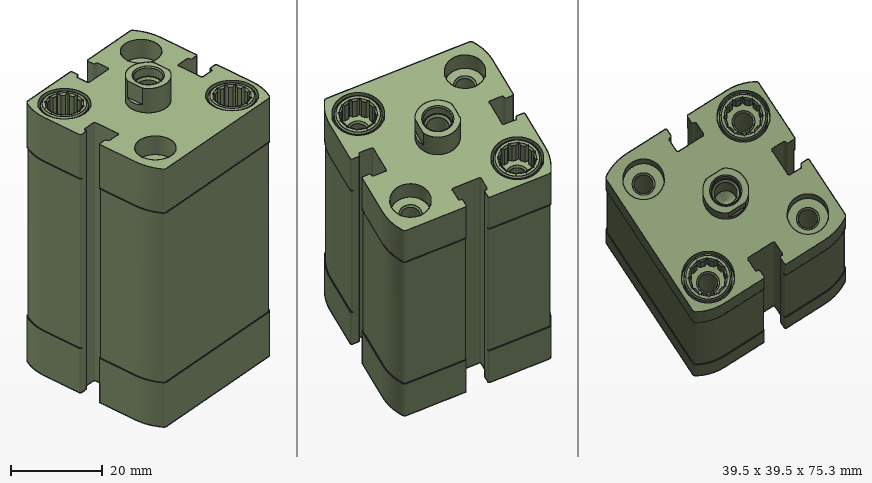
import cadquery as cq
import math


total_height = 75.3
side = 39.5
rod_protrusion = 6.5
housing_height = total_height - rod_protrusion

cap_height = 11.8
tube_inset = 0.2
screw_offset = 12.95
corner_radius = 12.5
corner_blend_radius = 0.8

slot_mouth_width = 5.3
slot_inner_width = 7.0
slot_depth = 5.7
slot_lip = 2.2
slot_fillet = 0.4

through_diameter = 4.15
bevel_diameter = 5.0
plain_bore_diameter = 9.0
plain_bore_depth = 5.0

recess_diameter = 11.5
recess_depth = 4.0
head_diameter = 10.5
head_chamfer = 0.4
tooth_count = 12
tooth_tip_diameter = 7.5
tooth_root_diameter = 8.7
lead_in_diameter = 8.35
tooth_tip_angle = 15.0
socket_depth = 6.0

rod_diameter = 10.0
rod_length = rod_protrusion + cap_height
flat_width = 9.0
flat_height = 4.4
flat_runout = 0.3
bore_diameter = 6.4
bore_depth = 2.5
bore_mouth_diameter = 7.0
pilot_diameter = 5.0
pilot_mouth_diameter = 6.0
pilot_depth = 12.05
drill_point_angle = 120.0


def revolved(points):
    """Solid of revolution about Z from (radius, z) points."""
    return cq.Workplane("XZ").polyline(points).close().revolve(360, (0, 0, 0), (0, 1, 0))


def block(inset, z_bottom, height):
    """Length of the housing whose sides and corner arcs lie `inset` inside the end cap outline."""
    half = side / 2 - inset
    radius = corner_radius - inset
    arc_center_y = half - radius
    arc_end_y = arc_center_y + math.sqrt(radius**2 - (half - screw_offset) ** 2)
    end_angle = math.atan2(arc_end_y - arc_center_y, half - screw_offset)
    mid_angle = (end_angle + math.pi / 2) / 2
    mid_x = screw_offset + radius * math.cos(mid_angle)
    mid_y = arc_center_y + radius * math.sin(mid_angle)
    solid = (
        cq.Workplane("XY", origin=(0, 0, z_bottom))
        .moveTo(half, -arc_end_y)
        .lineTo(half, arc_end_y)
        .threePointArc((mid_x, mid_y), (screw_offset, half))
        .lineTo(-screw_offset, half)
        .threePointArc((-mid_x, mid_y), (-half, arc_end_y))
        .lineTo(-half, -arc_end_y)
        .threePointArc((-mid_x, -mid_y), (-screw_offset, -half))
        .lineTo(screw_offset, -half)
        .threePointArc((mid_x, -mid_y), (half, -arc_end_y))
        .close()
        .extrude(height)
    )
    return solid.edges("|Z and (<X or >X)").fillet(corner_blend_radius)


def slot(z_bottom, height):
    """T-slot cutter for the -X side, with every corner rounded except those at its open end."""
    outer_x = -side / 2
    inner_depth = slot_depth - slot_lip
    mouth = cq.Workplane("XY").box(slot_lip, slot_mouth_width, height, centered=(False, True, False))
    inner = cq.Workplane("XY").box(inner_depth, slot_inner_width, height, centered=(False, True, False))
    cutter = mouth.union(inner.translate((slot_lip, 0, 0)))
    cutter = cutter.edges("|Z and (not <X)").fillet(slot_fillet)
    return cutter.translate((outer_x, 0, z_bottom))


def is_mouth_edge(edge, half):
    """Whether a vertical edge is where a slot opens in a side at distance `half` from the axis."""
    center = edge.Center()
    distances = sorted((abs(center.x), abs(center.y)))
    return math.isclose(distances[0], slot_mouth_width / 2) and math.isclose(distances[1], half)


def housing_section(inset, z_bottom, height):
    """Length of the housing with T-slots in its -X, -Y and +Y sides."""
    section = block(inset, z_bottom, height)
    for angle in (0, 90, -90):
        section = section.cut(slot(z_bottom, height).rotate((0, 0, 0), (0, 0, 1), angle))
    mouth_edges = section.edges("|Z").filter(lambda edge: is_mouth_edge(edge, side / 2 - inset))
    return mouth_edges.fillet(slot_fillet)


def through_hole(floor_z):
    """Hole from the base up to a floor, with a 45 degree bevel at the floor."""
    bevel = (bevel_diameter - through_diameter) / 2
    return revolved([
        (0, 0),
        (through_diameter / 2, 0),
        (through_diameter / 2, floor_z - bevel),
        (bevel_diameter / 2, floor_z),
        (0, floor_z),
    ])


def plain_screw_hole():
    """Plain counterbore over a through hole."""
    floor_z = housing_height - plain_bore_depth
    bore = cq.Workplane("XY", origin=(0, 0, floor_z)).circle(plain_bore_diameter / 2).extrude(plain_bore_depth)
    return bore.union(through_hole(floor_z))


def spline_outline():
    """Corners of the socket: flat tooth tips with a V groove between each two."""
    pitch = 360 / tooth_count
    points = []
    for i in range(tooth_count):
        for angle, diameter in (
            (i * pitch, tooth_root_diameter),
            ((i + 0.5) * pitch - tooth_tip_angle / 2, tooth_tip_diameter),
            ((i + 0.5) * pitch + tooth_tip_angle / 2, tooth_tip_diameter),
        ):
            radians = math.radians(angle)
            points.append((diameter / 2 * math.cos(radians), diameter / 2 * math.sin(radians)))
    return points


def splined_screw_hole():
    """Ring recess around a flush screw head, its splined socket and a through hole."""
    floor_z = housing_height - socket_depth
    recess = (
        cq.Workplane("XY", origin=(0, 0, housing_height - recess_depth))
        .circle(recess_diameter / 2)
        .extrude(recess_depth)
    )
    head = (
        cq.Workplane("XY", origin=(0, 0, housing_height - recess_depth))
        .circle(head_diameter / 2)
        .extrude(recess_depth)
        .faces(">Z")
        .chamfer(head_chamfer)
    )
    socket = (
        cq.Workplane("XY", origin=(0, 0, floor_z))
        .polyline(spline_outline())
        .close()
        .extrude(socket_depth)
    )
    lead_in_height = (lead_in_diameter - tooth_tip_diameter) / 2
    lead_in = revolved([
        (0, housing_height - lead_in_height),
        (tooth_tip_diameter / 2, housing_height - lead_in_height),
        (lead_in_diameter / 2, housing_height),
        (0, housing_height),
    ])
    return recess.cut(head).union(socket).union(lead_in).union(through_hole(floor_z))


def make_housing():
    tube_height = housing_height - 2 * cap_height
    body = housing_section(0, 0, cap_height)
    body = body.union(housing_section(tube_inset, cap_height, tube_height))
    body = body.union(housing_section(0, cap_height + tube_height, cap_height))
    for sign in (1, -1):
        x = sign * screw_offset
        body = body.cut(splined_screw_hole().translate((x, x, 0)))
        body = body.cut(plain_screw_hole().translate((x, -x, 0)))
    rod_hole = (
        cq.Workplane("XY", origin=(0, 0, total_height - rod_length))
        .circle(rod_diameter / 2)
        .extrude(rod_length)
    )
    return body.cut(rod_hole)


def rod_bore():
    """Stepped blind hole in the rod end, with a drill point at its bottom."""
    mouth_depth = (bore_mouth_diameter - bore_diameter) / 2
    step_z = total_height - bore_depth
    countersink_depth = (pilot_mouth_diameter - pilot_diameter) / 2
    tip_height = pilot_diameter / 2 / math.tan(math.radians(drill_point_angle / 2))
    return revolved([
        (0, total_height),
        (bore_mouth_diameter / 2, total_height),
        (bore_diameter / 2, total_height - mouth_depth),
        (bore_diameter / 2, step_z),
        (pilot_mouth_diameter / 2, step_z),
        (pilot_diameter / 2, step_z - countersink_depth),
        (pilot_diameter / 2, total_height - pilot_depth),
        (0, total_height - pilot_depth - tip_height),
    ])


def wrench_flat():
    """Cutter for the flat on the -Y side, with a ledge that slopes down outwards."""
    flat_y = -flat_width / 2
    outer_y = -rod_diameter / 2
    ledge_z = total_height - flat_height
    return (
        cq.Workplane("YZ")
        .polyline([
            (flat_y, total_height),
            (flat_y, ledge_z),
            (outer_y, ledge_z - flat_runout),
            (outer_y, total_height),
        ])
        .close()
        .extrude(rod_diameter / 2, both=True)
    )


def make_piston_rod():
    rod = (
        cq.Workplane("XY", origin=(0, 0, total_height - rod_length))
        .circle(rod_diameter / 2)
        .extrude(rod_length)
    )
    rod = rod.cut(wrench_flat()).cut(wrench_flat().mirror("XZ"))
    return rod.cut(rod_bore())


housing = make_housing()
piston_rod = make_piston_rod()
result = cq.Compound.makeCompound([housing.val(), piston_rod.val()])